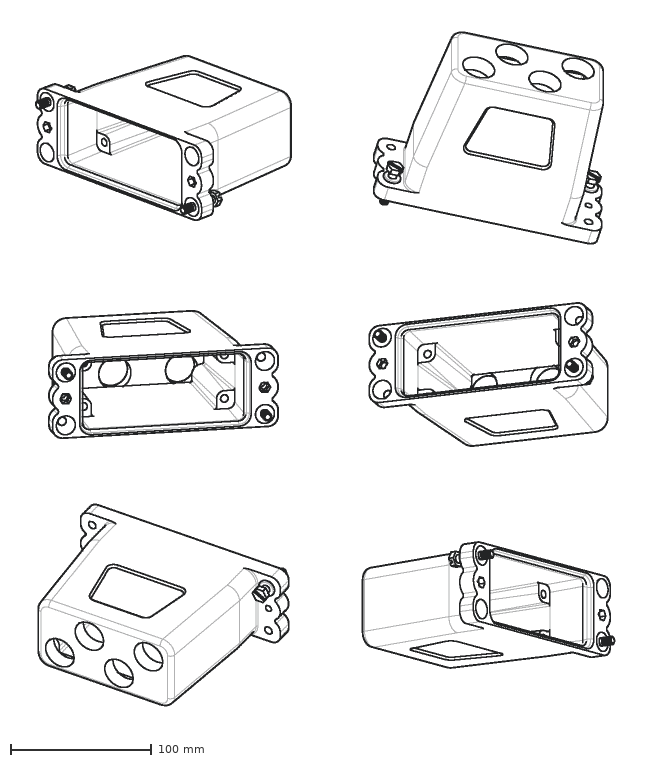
import cadquery as cq
import math


hood_length = 119.3
hood_half_width = 62.9
hood_half_height = 28.9
hood_end_half_width = 55.8
hood_corner_radius = 10.0
hood_end_fillet = 3.8
taper_start = 36.3
end_wall = 11.5

flange_thickness = 12.0
flange_half_width = 82.5
flange_fillet = 1.0
ear_radius = 7.6
ear_flat_low = 17.2
bump_radius = 9.7
scallop_radius = 2.0

fixing_x = flange_half_width - bump_radius
fixing_z = 19.5
cone_front_radius = 7.0
cone_back_radius = 3.0
nut_across_flats = 7.1
nut_depth = 5.0
nut_hole_diameter = 4.8

mouth_half_width = 62.7
mouth_half_height = 27.4
mouth_corner_radius = 8.5
rim_steps = [
    (0.0, 0.0, 0.0),
    (2.3, 1.0, 1.0),
    (4.5, 2.6, 2.6),
    (7.0, 3.8, 3.0),
]
floor_half_width = 52.6
floor_half_height = 21.5

boss_x = 51.5
boss_z = 16.0
boss_radius = 5.8
boss_draft = 1.8
boss_root_fillet = 1.5
boss_hole_diameter = 5.5
boss_hole_depth = 16.5

cable_hole_diameter = 23.5
cable_pitch = 24.5
cable_hole_count = 4
cable_z = 11.9

label_low_y = 55.3
label_high_y = 100.3
label_low_half_width = 33.3
label_high_half_width = 24.8
label_corner_radius = 5.8
label_depth = 1.8
label_wall_inset = 1.5

screw_radius = cone_back_radius
screw_tip_y = -9.2
tip_chamfer = 0.8
thread_pitch = 1.0
thread_depth = 0.5
thread_count = 7
head_seat_y = 20.6
head_height = 4.1
head_across_flats = 10.0
slot_width = 1.6
slot_depth = 1.8
slot_angle = 30.0

washer_radius = 6.3
washer_y = 13.5
washer_thickness = 1.8
washer_edge_fillet = 0.7
seal_bulge = 0.7
seal_dip = 1.0

overcut = 1.6

screw_places = [(-fixing_x, fixing_z), (fixing_x, -fixing_z)]
ear_signs = [(sx, sz) for sx in (-1, 1) for sz in (-1, 1)]
floor_y = hood_length - end_wall


def plane_at(y):
    """Work plane at height y along the hood, with local axes X and Z."""
    return cq.Workplane("XZ", origin=(0, y, 0))


def extrude_back(sketch, depth):
    """Extrude a profile drawn on plane_at() toward +Y."""
    return sketch.extrude(-depth)


def rounded_section(y, half_width, half_height, radius):
    """A (y, sketch) section: a rounded rectangle centred on the Y axis."""
    profile = cq.Sketch().rect(2 * half_width, 2 * half_height).vertices().fillet(radius)
    return y, profile


def hexagon(plane, across_flats):
    """Regular hexagon with two corners pointing along X."""
    return plane.polygon(6, across_flats / math.cos(math.pi / 6))


def frustum(front, back):
    """Ruled solid between two (y, sketch) sections."""
    (y_front, front_sketch), (y_back, back_sketch) = front, back
    return (
        plane_at(y_front)
        .placeSketch(front_sketch, back_sketch.moved(cq.Location(cq.Vector(0, 0, y_front - y_back))))
        .loft(ruled=True)
    )


def stacked(sections):
    """Join the frustums between successive sections into one solid."""
    solid = frustum(sections[0], sections[1])
    for front, back in zip(sections[1:], sections[2:]):
        solid = solid.union(frustum(front, back))
    return solid


def scallop_arc():
    """Start, middle and end of the concave arc tangent to an ear and to the middle bump (+X, +Z corner)."""
    ear_x, ear_z = flange_half_width - ear_radius, ear_flat_low
    to_bump = bump_radius + scallop_radius
    to_ear = ear_radius + scallop_radius
    span = math.hypot(ear_x - fixing_x, ear_z)
    along = (to_bump**2 - to_ear**2 + span**2) / (2 * span)
    aside = math.sqrt(to_bump**2 - along**2)
    ux, uz = (ear_x - fixing_x) / span, ear_z / span
    center_x = fixing_x + along * ux + aside * uz
    center_z = along * uz - aside * ux

    def toward(x, z):
        reach = math.hypot(x - center_x, z - center_z)
        return (
            center_x + scallop_radius * (x - center_x) / reach,
            center_z + scallop_radius * (z - center_z) / reach,
        )

    on_bump = toward(fixing_x, 0)
    on_ear = toward(ear_x, ear_z)
    middle = toward((on_bump[0] + on_ear[0]) / 2, (on_bump[1] + on_ear[1]) / 2)
    return on_bump, middle, on_ear


def flange():
    """Mounting plate with two ears and a middle bump at each end, mirrored from one quarter."""
    on_bump, scallop_middle, on_ear = scallop_arc()
    ear_x = flange_half_width - ear_radius
    top_z = hood_half_height - ear_radius
    ear_diagonal = ear_radius * math.sqrt(0.5)
    ear_turn = math.atan2(on_ear[1] - ear_flat_low, on_ear[0] - ear_x) / 2
    ear_low_middle = (ear_x + ear_radius * math.cos(ear_turn), ear_flat_low + ear_radius * math.sin(ear_turn))
    bump_turn = math.atan2(on_bump[1], on_bump[0] - fixing_x) / 2
    bump_middle = (fixing_x + bump_radius * math.cos(bump_turn), bump_radius * math.sin(bump_turn))
    quarter = (
        plane_at(0)
        .moveTo(0, 0)
        .lineTo(0, hood_half_height)
        .lineTo(ear_x, hood_half_height)
        .threePointArc((ear_x + ear_diagonal, top_z + ear_diagonal), (flange_half_width, top_z))
        .lineTo(flange_half_width, ear_flat_low)
        .threePointArc(ear_low_middle, on_ear)
        .threePointArc(scallop_middle, on_bump)
        .threePointArc(bump_middle, (flange_half_width, 0))
        .close()
    )
    quarter = extrude_back(quarter, flange_thickness)
    half = quarter.union(quarter.mirror("YZ"))
    return half.union(half.mirror("XY")).clean()


def hood_block():
    """Solid outer shape of the hood, straight at first and then narrowing in X."""
    sections = [
        rounded_section(0, hood_half_width, hood_half_height, hood_corner_radius),
        rounded_section(taper_start, hood_half_width, hood_half_height, hood_corner_radius),
        rounded_section(hood_length, hood_end_half_width, hood_half_height, hood_corner_radius),
    ]
    return stacked(sections).faces(">Y").edges().fillet(hood_end_fillet)


def boss(sx, sz):
    """Drafted boss, rounded toward the middle of the cavity and running into the walls."""

    def section(y, growth):
        reach = boss_radius + growth
        outward = hood_half_width
        profile = (
            cq.Sketch()
            .push([(sx * (boss_x + (outward - reach) / 2), sz * (boss_z + (outward - reach) / 2))])
            .rect(outward + reach, outward + reach)
            .reset()
            .vertices("<X" if sx > 0 else ">X")
            .vertices("<Y" if sz > 0 else ">Y")
            .fillet(reach)
        )
        return y, profile

    return frustum(section(taper_start, 0), section(floor_y, boss_draft))


def is_boss_root(edge):
    """True for the long edges where a boss side meets a cavity wall."""
    middle = edge.Center()
    runs_along_y = edge.BoundingBox().ylen > (floor_y - taper_start) / 2
    beside_boss = taper_start < middle.y < floor_y
    at_wall = abs(middle.x) > boss_x + boss_radius / 2 or abs(middle.z) > boss_z + boss_radius / 2
    return runs_along_y and beside_boss and at_wall


def cavity():
    """Space inside the hood, with the corner bosses left standing."""
    sections = [
        rounded_section(
            depth,
            mouth_half_width - inset_x,
            mouth_half_height - inset_z,
            mouth_corner_radius - inset_x,
        )
        for depth, inset_x, inset_z in rim_steps
    ]
    rim_depth, rim_inset_x, rim_inset_z = rim_steps[-1]
    half_width = mouth_half_width - rim_inset_x
    rim_half_height = mouth_half_height - rim_inset_z
    lean = (rim_half_height - floor_half_height) / (floor_y - rim_depth)
    half_height = rim_half_height - lean * (taper_start - rim_depth)
    sections.append(rounded_section(taper_start, half_width, half_height, mouth_corner_radius - rim_inset_x))

    tapered_space = cq.Workplane("XY", origin=(-half_width, taper_start, -half_height)).wedge(
        2 * half_width,
        floor_y - taper_start,
        2 * half_height,
        half_width - floor_half_width,
        half_height - floor_half_height,
        half_width + floor_half_width,
        half_height + floor_half_height,
        centered=False,
    )
    for sx, sz in ear_signs:
        tapered_space = tapered_space.cut(boss(sx, sz))
    roots = [edge for edge in tapered_space.edges().vals() if is_boss_root(edge)]
    return stacked(sections).union(tapered_space.newObject(roots).fillet(boss_root_fillet))


def boss_holes():
    """Blind screw holes in the four boss faces."""
    places = [(sx * boss_x, sz * boss_z) for sx, sz in ear_signs]
    profile = plane_at(taper_start).pushPoints(places).circle(boss_hole_diameter / 2)
    return extrude_back(profile, boss_hole_depth)


def cable_holes():
    """Row of holes through the end wall, staggered above and below the middle."""
    first_x = -(cable_hole_count - 1) / 2 * cable_pitch
    places = [(first_x + i * cable_pitch, cable_z * (-1) ** i) for i in range(cable_hole_count)]
    profile = plane_at(floor_y).pushPoints(places).circle(cable_hole_diameter / 2)
    return extrude_back(profile, end_wall + overcut)


def nut_pockets():
    """Hexagon pocket with a through hole in each middle bump."""
    places = [(-fixing_x, 0), (fixing_x, 0)]
    pockets = extrude_back(hexagon(plane_at(0).pushPoints(places), nut_across_flats), nut_depth)
    holes = extrude_back(plane_at(0).pushPoints(places).circle(nut_hole_diameter / 2), flange_thickness)
    return pockets.union(holes)


def turned(outline):
    """Revolve a closed outline of (radius, y) about the Y axis."""
    return outline.close().revolve(360, (0, 0, 0), (0, 1, 0))


def cone_plug():
    """Shape of one tapered fixing hole, placed on the Y axis."""
    outline = (
        cq.Workplane("XY")
        .lineTo(cone_front_radius, 0)
        .lineTo(cone_back_radius, flange_thickness)
        .lineTo(0, flange_thickness)
    )
    return turned(outline)


def label_recess():
    """Trapezoid recess with sloped walls in the upper wide face."""

    def section(inset):
        slant = math.atan2(label_low_half_width - label_high_half_width, label_high_y - label_low_y)
        run = math.tan(slant)
        side_inset = inset / math.cos(slant)
        low_half = label_low_half_width - side_inset - inset * run
        high_half = label_high_half_width - side_inset + inset * run
        low, high = label_low_y + inset, label_high_y - inset
        corners = [(-low_half, low), (low_half, low), (high_half, high), (-high_half, high)]
        return cq.Sketch().polygon(corners + corners[:1]).vertices().fillet(label_corner_radius - inset)

    floor_sketch = section(label_wall_inset)
    top_sketch = section(0).moved(cq.Location(cq.Vector(0, 0, label_depth)))
    base = cq.Workplane("XY", origin=(0, 0, hood_half_height - label_depth))
    return base.placeSketch(floor_sketch, top_sketch).loft(ruled=True)


def hood_foot():
    """Concave fillet between the hood and the back of the flange, flush with the wide faces."""
    plate = extrude_back(plane_at(0).rect(2 * flange_half_width, 2 * flange_half_width), flange_thickness)
    stub = plane_at(0).rect(2 * hood_half_width, 2 * hood_half_height)
    stub = extrude_back(stub, taper_start).edges("|Y").fillet(hood_corner_radius)
    foot = plate.union(stub)
    inner_corner = cq.selectors.BoxSelector(
        (-flange_half_width + overcut, flange_thickness - overcut, -flange_half_width + overcut),
        (flange_half_width - overcut, flange_thickness + overcut, flange_half_width - overcut),
    )
    foot = foot.edges(inner_corner).fillet(flange_fillet)
    keep = plane_at(0).rect(2 * (hood_half_width + flange_fillet), 2 * hood_half_height)
    return foot.intersect(extrude_back(keep, taper_start))


def make_housing():
    """Hood and flange in one piece, with the cavity, holes and label recesses cut out."""
    body = flange().union(hood_block()).union(hood_foot())
    body = body.cut(cavity()).cut(boss_holes()).cut(cable_holes()).cut(nut_pockets())
    for sx, sz in ear_signs:
        body = body.cut(cone_plug().translate((sx * fixing_x, 0, sz * fixing_z)))
    recess = label_recess()
    return body.cut(recess).cut(recess.mirror("XY"))


def make_screw():
    """Slotted hexagon screw on the Y axis, with its exposed end threaded."""
    shank = cq.Workplane("XY").moveTo(0, head_seat_y).lineTo(screw_radius, head_seat_y)
    thread_end = screw_tip_y + tip_chamfer
    thread_start = thread_end + thread_count * thread_pitch
    for i in range(thread_count):
        crest = thread_start - i * thread_pitch
        shank = shank.lineTo(screw_radius, crest)
        shank = shank.lineTo(screw_radius - thread_depth, crest - thread_pitch / 2)
    shank = (
        shank.lineTo(screw_radius, thread_end)
        .lineTo(screw_radius - tip_chamfer, screw_tip_y)
        .lineTo(0, screw_tip_y)
    )
    head = extrude_back(hexagon(plane_at(head_seat_y), head_across_flats), head_height)
    slot_floor = head_seat_y + head_height - slot_depth
    slot_plane = plane_at(slot_floor).transformed(rotate=(0, 0, slot_angle))
    slot = extrude_back(slot_plane.rect(2 * head_across_flats, slot_width), slot_depth + overcut)
    return turned(shank).union(head).cut(slot)


def make_washer():
    """Washer with rounded rims, sitting on the screw shank behind the flange."""
    disc = extrude_back(plane_at(washer_y).circle(washer_radius), washer_thickness)
    disc = disc.edges().fillet(washer_edge_fillet)
    return disc.cut(extrude_back(plane_at(washer_y).circle(screw_radius), washer_thickness))


def make_seal():
    """Tapered ring filling a fixing hole around the screw, with a bulged front."""
    outline = (
        cq.Workplane("XY")
        .moveTo(screw_radius, seal_dip)
        .threePointArc(((screw_radius + cone_front_radius) / 2, -seal_bulge), (cone_front_radius, 0))
        .lineTo(cone_back_radius, flange_thickness)
    )
    return turned(outline)


housing = make_housing()
screws = [make_screw().translate((x, 0, z)) for x, z in screw_places]
washers = [make_washer().translate((x, 0, z)) for x, z in screw_places]
seals = [make_seal().translate((x, 0, z)) for x, z in screw_places]

result = cq.Compound.makeCompound(
    [housing.val()] + [piece.val() for piece in screws + washers + seals]
)